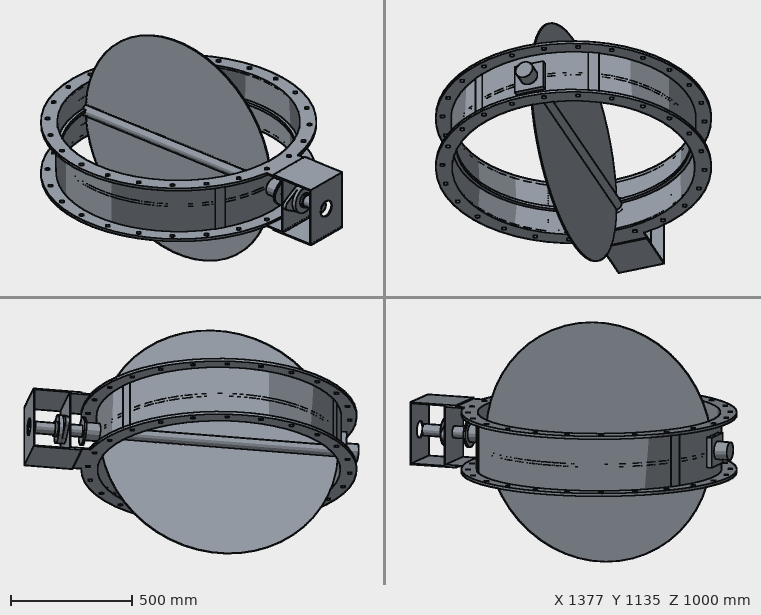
import cadquery as cq
import math

bore_diameter = 1000.0
sheet = 5.0
bar = 12.0
body_height = 250.0
flange_diameter = 1135.0
shaft_diameter = 50.0

shell_diameter = bore_diameter + 2 * sheet
half_height = body_height / 2
bolt_circle_diameter = 1080.0
bolt_hole_diameter = 18.0
bolt_count = 24
seat_inner_diameter = 970.0
seat_overlap = 3.0

stiffener_width = 44.0
stiffener_angle = 30
stiffener_proud = 0.7

housing_diameter = 75.0
closed_end_x = -580.0
pad_face_x = -523
pad_side = 125.0

gland_start_x = 567.0
gland_end_x = 575.0
gland_diameter = 117.0
gland_lobe_radius = 41
gland_lobe_offset = 25.0
bearing_diameter = gland_diameter
bearing_end_x = 680.0
bearing_flange_end_x = 662.0
bearing_lobe_radius = 20.0
bearing_lobe_offset = 78.0
sleeve_end_x = 691.0
sleeve_diameter = 62.0
shaft_end_x = 774.0

bracket_width = 200.0
lip_start_x = 551
cover_start_x = 595.0
bracket_end_x = 797.0
web_face_x = 646.0
end_hole_diameter = 70.0


def x_cylinder(diameter, start, end):
    """Solid cylinder on the X axis between two stations."""
    return cq.Workplane("YZ", origin=(start, 0, 0)).circle(diameter / 2).extrude(end - start)


def x_block(start, end, width, bottom, top):
    """Block centred on Y between two X stations and two heights."""
    return cq.Workplane("XY", origin=(0, 0, bottom)).center((start + end) / 2, 0).rect(
        end - start, width).extrude(top - bottom)


def z_ring(outer_diameter, inner_diameter, bottom, height):
    """Flat ring around the Z axis."""
    outline = cq.Workplane("XY", origin=(0, 0, bottom)).circle(outer_diameter / 2)
    return outline.circle(inner_diameter / 2).extrude(height)


def make_stiffener(angle):
    """Flat bar lying against the shell between the flanges."""
    outer_face = shell_diameter / 2 + stiffener_proud
    block = x_block(outer_face - sheet, outer_face, stiffener_width, -half_height, half_height)
    return block.rotate((0, 0, 0), (0, 0, 1), angle)


def make_body():
    """Shell with two plain flanges, stiffeners and the -X pad."""
    body = z_ring(shell_diameter, bore_diameter, -half_height, body_height)
    for bottom in (-half_height, half_height - bar):
        flange = z_ring(flange_diameter, bore_diameter, bottom, bar)
        body = body.union(flange)
    for angle in (stiffener_angle, -stiffener_angle, 180 - stiffener_angle, 180 + stiffener_angle):
        body = body.union(make_stiffener(angle))
    pad = x_block(pad_face_x, 0, pad_side, -pad_side / 2, pad_side / 2)
    bore = cq.Workplane("XY").circle(bore_diameter / 2).extrude(half_height, both=True)
    return body.union(pad.cut(bore))


def drill_flanges(body):
    """Cut the bolt circle, straddling the X axis, through both flanges."""
    first_angle = 180 / bolt_count
    holes = cq.Workplane("XY", origin=(0, 0, -half_height)).polarArray(
        bolt_circle_diameter / 2, first_angle, 360, bolt_count)
    return body.cut(holes.circle(bolt_hole_diameter / 2).extrude(body_height))


def make_seat(side, bottom):
    """Half ring inside the shell on the +Y (side 1) or -Y (side -1) half."""
    ring = z_ring(bore_diameter + seat_overlap, seat_inner_diameter, bottom, bar)
    half_space = cq.Workplane("XY").box(
        flange_diameter, flange_diameter, body_height).translate((0, side * flange_diameter / 2, 0))
    return ring.intersect(half_space)


def make_disc():
    """Open butterfly disc standing in the XZ plane."""
    return cq.Workplane("XZ").circle(bore_diameter / 2).extrude(sheet / 2, both=True)


def lobed_plate(body_diameter, lobe_radius, lobe_offset, start, end):
    """Round plate across X, blended by tangent lines into a smaller round lobe at each Y end."""
    body_radius = body_diameter / 2
    tangent_angle = math.acos((body_radius - lobe_radius) / lobe_offset)
    lobe_y = lobe_offset + lobe_radius * math.cos(tangent_angle)
    lobe_z = lobe_radius * math.sin(tangent_angle)
    body_y = body_radius * math.cos(tangent_angle)
    body_z = body_radius * math.sin(tangent_angle)
    tip_y = lobe_offset + lobe_radius
    outline = cq.Workplane("YZ", origin=(start, 0, 0)).moveTo(lobe_y, -lobe_z)
    outline = outline.threePointArc((tip_y, 0), (lobe_y, lobe_z)).lineTo(body_y, body_z)
    outline = outline.threePointArc((0, body_radius), (-body_y, body_z)).lineTo(-lobe_y, lobe_z)
    outline = outline.threePointArc((-tip_y, 0), (-lobe_y, -lobe_z)).lineTo(-body_y, -body_z)
    outline = outline.threePointArc((0, -body_radius), (body_y, -body_z)).close()
    return outline.extrude(end - start)


def make_bearing():
    """Bearing on the bracket web: round body on a two-lobed flange."""
    flange = lobed_plate(
        bearing_diameter, bearing_lobe_radius, bearing_lobe_offset, web_face_x, bearing_flange_end_x)
    return flange.union(x_cylinder(bearing_diameter, web_face_x, bearing_end_x))


def make_shaft():
    """Shaft through the body with its stepped ends, gland and bearing."""
    shaft = x_cylinder(shaft_diameter, closed_end_x, shaft_end_x)
    wall_x = (bore_diameter + sheet) / 2
    shaft = shaft.union(x_cylinder(housing_diameter, closed_end_x, -wall_x))
    shaft = shaft.union(x_cylinder(housing_diameter, wall_x, gland_start_x))
    gland = lobed_plate(
        gland_diameter, gland_lobe_radius, gland_lobe_offset, gland_start_x, gland_end_x)
    shaft = shaft.union(gland)
    shaft = shaft.union(make_bearing())
    return shaft.union(x_cylinder(sleeve_diameter, bearing_end_x, sleeve_end_x))


def make_bracket():
    """Inner channel fixed to the flanges and outer channel carrying the holed end plate."""
    cover_height = half_height + sheet
    bracket = x_block(web_face_x - sheet, web_face_x, bracket_width, -half_height, half_height)
    end_plate = x_block(bracket_end_x - sheet, bracket_end_x, bracket_width, -cover_height, cover_height)
    end_hole = x_cylinder(end_hole_diameter, bracket_end_x - sheet, bracket_end_x)
    bracket = bracket.union(end_plate.cut(end_hole))
    for side in (-1, 1):
        lip_heights = sorted((side * (half_height - sheet), side * half_height))
        cover_heights = sorted((side * half_height, side * cover_height))
        bracket = bracket.union(x_block(lip_start_x, web_face_x, bracket_width, *lip_heights))
        bracket = bracket.union(x_block(cover_start_x, bracket_end_x, bracket_width, *cover_heights))
    return bracket


flap = make_shaft().union(make_disc())
result = drill_flanges(make_body())
result = result.union(make_seat(1, -sheet / 2 - bar))
result = result.union(make_seat(-1, sheet / 2))
result = result.union(make_bracket())
result = result.union(flap)